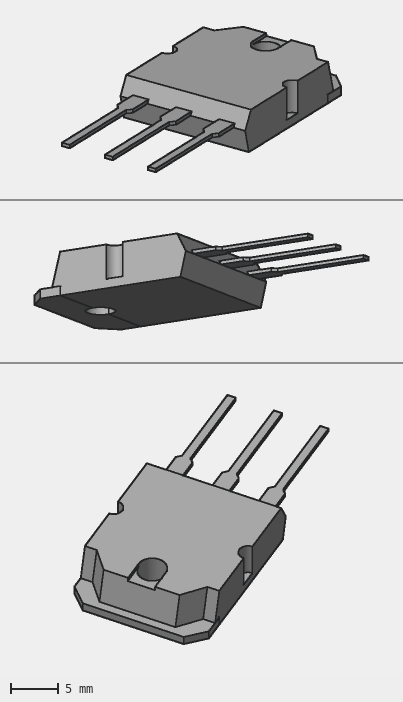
import cadquery as cq


width = 15.9
length = 34.3
height = 4.8

plate_thickness = 1.03
plate_length = 4.5
plate_chamfer = 2.0
plate_end_y = length - plate_length

back_draft = 1.0
back_foot_y = length - 1.0
back_top_y = back_foot_y - back_draft
front_top_y = 15.15
ridge_y = 14.05
ridge_z = 2.75
front_bottom_y = 14.75

corner_inner_x = 4.5
corner_outer_x = 6.55
corner_depth = 2.47

hole_diameter = 3.2
hole_y = plate_end_y
recess_depth = 0.38

notch_radius = 1.03
notch_y = length - 11.3

lead_count = 3
lead_pitch = 5.5
lead_thickness = 0.4
lead_root_width = 2.0
lead_tip_width = 1.0
shoulder_y = 11.25
shoulder_length = (lead_root_width - lead_tip_width) / 2


def make_hole_cutter():
    return cq.Workplane("XY").center(0, hole_y).circle(hole_diameter / 2).extrude(height)


def make_plate():
    """Flat plate with two chamfered corners and half of the mounting hole in its inner edge."""
    plate = (
        cq.Workplane("XY")
        .box(width, plate_length, plate_thickness, centered=(True, False, False))
        .translate((0, plate_end_y, 0))
        .edges("|Z and >Y")
        .chamfer(plate_chamfer)
    )
    return plate.cut(make_hole_cutter())


def make_corner_cutter(side):
    """Corner removal whose outline leans forward with the drafted back; side is -1 or 1."""

    def outline(back_y):
        inner_x = side * corner_inner_x
        outer_x = side * corner_outer_x
        edge_x = side * width / 2
        return [
            (inner_x, back_y),
            (outer_x, back_y - corner_depth),
            (edge_x, back_y - corner_depth),
            (edge_x, back_y),
        ]

    return (
        cq.Workplane("XY", origin=(0, 0, plate_thickness))
        .polyline(outline(back_foot_y))
        .close()
        .workplane(offset=height - plate_thickness)
        .polyline(outline(back_top_y))
        .close()
        .loft(ruled=True)
    )


def make_recess_cutter():
    """Shallow channel running from the mounting hole out through the back face."""
    return (
        cq.Workplane("XY")
        .box(hole_diameter, length - hole_y, recess_depth, centered=(True, False, False))
        .translate((0, hole_y, height - recess_depth))
    )


def make_notch_cutter(side):
    """Round blind notch in one side face, as deep as the top of the plate."""
    return (
        cq.Workplane("XY", origin=(side * width / 2, notch_y, plate_thickness))
        .circle(notch_radius)
        .extrude(height - plate_thickness)
    )


def make_housing():
    """Moulded block over the plate, with a ridged front and a drafted back."""
    housing = (
        cq.Workplane("YZ")
        .polyline([
            (front_bottom_y, 0),
            (plate_end_y, 0),
            (plate_end_y, plate_thickness),
            (back_foot_y, plate_thickness),
            (back_top_y, height),
            (front_top_y, height),
            (ridge_y, ridge_z),
        ])
        .close()
        .extrude(width / 2, both=True)
    )
    for side in (-1, 1):
        housing = housing.cut(make_corner_cutter(side))
        housing = housing.cut(make_notch_cutter(side))
    return housing.cut(make_recess_cutter()).cut(make_hole_cutter())


def make_lead(center_x, housing):
    """Flat lead, wide at the root and narrow to the tip, trimmed to the housing's front face."""
    root = lead_root_width / 2
    tip = lead_tip_width / 2
    narrow_y = shoulder_y - shoulder_length
    blank = (
        cq.Workplane("XY", origin=(center_x, 0, ridge_z))
        .polyline([
            (-tip, 0),
            (tip, 0),
            (tip, narrow_y),
            (root, shoulder_y),
            (root, front_top_y),
            (-root, front_top_y),
            (-root, shoulder_y),
            (-tip, narrow_y),
        ])
        .close()
        .extrude(lead_thickness)
    )
    return blank.cut(housing)


plate = make_plate()
housing = make_housing()
leads = []
for index in range(lead_count):
    lead_x = (index - (lead_count - 1) / 2) * lead_pitch
    leads.extend(make_lead(lead_x, housing).solids().vals())

result = cq.Compound.makeCompound([plate.val(), housing.val(), *leads])